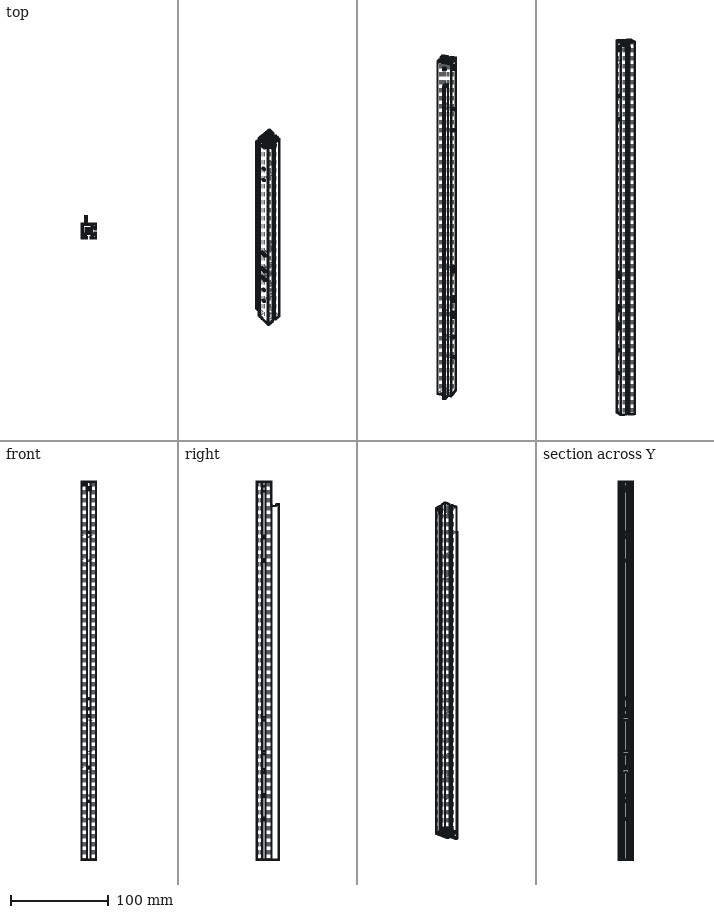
import cadquery as cq

length = 386.8
profile_side = 15.0
wall = 1.5
web = 1.5
core_half = 3.3
pocket_half = 4.3
slot_width = 3.0
core_bore_diameter = 2.4

fin_height = 7.7
fin_thickness = 2.5
fin_x = -2.7
fin_drop = 23.0
ledge_drop = 2.0
ledge_width = 5.0
ledge_fillet = 1.0

groove_depth = 0.2
groove_width = 1.0
groove_inset = 0.58

cross_depth_x = 7.5
cross_depth_y = 7.0
cross_diameter = 5.0
cross_inner_diameter = 3.0
tapped_diameter = 2.5
tapped_depths = (56.5, 81.0, 321.0, 345.0)
screw_diameter = 3.5
head_diameter = 6.5
screw_depths = (242.5, 277.3, 296.0)
pilot_diameter = 1.5
pilot_depths = (52.0, 222.0, 232.5, 239.5, 292.0, 326.8)
pin_x = -4.5
pin_depth = 2.9
pin_diameter = 1.5

half = profile_side / 2
inner = half - wall
web_offset = web / 2 ** 0.5
web_start = core_half - web_offset
web_end = pocket_half + web_offset


def prism(points):
    """Closed outline in XY extruded over the whole length."""
    return cq.Workplane("XY").polyline(points).close().extrude(length)


def block(x0, x1, y0, y1, z0, z1):
    """Box between two opposite corners."""
    return cq.Workplane("XY").box(x1 - x0, y1 - y0, z1 - z0, centered=False).translate((x0, y0, z0))


def hole_x(diameter, depth, x0, x1):
    """Cylinder along X on the profile axis, at a distance below the top end."""
    plane = cq.Workplane("YZ", origin=(x0, 0, length - depth))
    return plane.circle(diameter / 2).extrude(x1 - x0)


def hole_y(diameter, depth, y0, y1, x=0.0):
    """Cylinder along Y at a distance below the top end."""
    plane = cq.Workplane("XZ", origin=(x, y0, length - depth))
    return plane.circle(diameter / 2).extrude(y0 - y1)


def slot():
    """T-slot open to +X: mouth through the lips, pocket tapering to the core."""
    pocket = prism([
        (inner, -pocket_half),
        (inner, pocket_half),
        (web_end, pocket_half),
        (core_half, web_start),
        (core_half, -web_start),
        (web_end, -pocket_half),
    ])
    mouth = block(core_half, half, -slot_width / 2, slot_width / 2, 0, length)
    return pocket.union(mouth)


def corner_cavity():
    """L-shaped closed cavity behind the -X and +Y walls."""
    return prism([
        (-inner, inner),
        (-inner, -pocket_half),
        (-web_end, -pocket_half),
        (-core_half, -web_start),
        (-core_half, core_half),
        (web_start, core_half),
        (pocket_half, web_end),
        (pocket_half, inner),
    ])


def fin():
    """Flat fin on the +Y face, with a lower filleted ledge next to the profile."""
    fin_top = length - fin_drop
    ledge_top = fin_top - ledge_drop
    x0 = fin_x - fin_thickness / 2
    x1 = x0 + fin_thickness
    body = block(x0, x1, half - wall / 2, half + fin_height, 0, fin_top)
    relief = block(x0, x1, half, half + ledge_width, ledge_top, fin_top + ledge_fillet)
    return body.cut(relief.edges("|X and <Z").fillet(ledge_fillet))


def build_profile():
    """Full-length profile: slots open to +X and -Y, cavity, core bore and -X face grooves."""
    body = block(-half, half, -half, half, 0, length)
    body = body.cut(slot()).cut(slot().rotate((0, 0, 0), (0, 0, 1), -90)).cut(corner_cavity())
    body = body.cut(cq.Workplane("XY").circle(core_bore_diameter / 2).extrude(length))
    groove_y = half - groove_inset - groove_width
    groove = block(-half, -half + groove_depth, groove_y, groove_y + groove_width, 0, length)
    return body.cut(groove).cut(groove.mirror("XZ"))


result = build_profile().union(fin())

result = result.cut(hole_x(cross_diameter, cross_depth_x, -half, inner))
result = result.cut(hole_y(cross_diameter, cross_depth_y, -half, -inner))
result = result.cut(hole_y(cross_inner_diameter, cross_depth_y, -half, half))

for depth in tapped_depths:
    result = result.cut(hole_x(tapped_diameter, depth, -half, inner))
for depth in screw_depths:
    result = result.cut(hole_x(head_diameter, depth, -half, -inner))
    result = result.cut(hole_x(screw_diameter, depth, -inner, inner))

for depth in pilot_depths:
    result = result.cut(hole_y(pilot_diameter, depth, -half, 0))
result = result.cut(hole_y(pin_diameter, pin_depth, -half, -inner, pin_x))